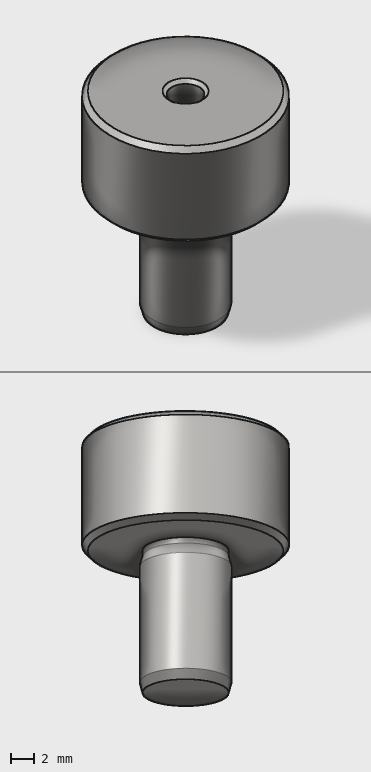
import cadquery as cq
import math

total_height = 23.0
head_diameter = 18.0
head_height = 10.0
head_chamfer = 0.5
shank_diameter = 8.0
neck_diameter = 7.5
neck_height = 0.5
taper_angle = 15.0
hole_diameter = 3.3
hole_mouth_diameter = 4.0
hole_depth = 7.0
drill_point_angle = 118.0

head_radius = head_diameter / 2
shank_radius = shank_diameter / 2
neck_radius = neck_diameter / 2
hole_radius = hole_diameter / 2
hole_mouth_radius = hole_mouth_diameter / 2
head_bottom = total_height - head_height
taper_length = (shank_radius - neck_radius) / math.tan(math.radians(taper_angle))
neck_bottom = head_bottom - neck_height


def turned_body():
    """Chamfered head on a shank with a relief neck and a tapered lead-in tip."""
    profile = [
        (0, 0),
        (neck_radius, 0),
        (shank_radius, taper_length),
        (shank_radius, neck_bottom - taper_length),
        (neck_radius, neck_bottom),
        (neck_radius, head_bottom),
        (head_radius - head_chamfer, head_bottom),
        (head_radius, head_bottom + head_chamfer),
        (head_radius, total_height - head_chamfer),
        (head_radius - head_chamfer, total_height),
        (0, total_height),
    ]
    return cq.Workplane("XZ").polyline(profile).close().revolve(360, (0, 0), (0, 1))


def drilled_hole():
    """Blind hole with a 45 degree countersunk mouth and a conical drill point."""
    countersink_depth = hole_mouth_radius - hole_radius
    point_depth = hole_radius / math.tan(math.radians(drill_point_angle / 2))
    bore_bottom = total_height - hole_depth
    profile = [
        (0, total_height),
        (hole_mouth_radius, total_height),
        (hole_radius, total_height - countersink_depth),
        (hole_radius, bore_bottom),
        (0, bore_bottom - point_depth),
    ]
    return cq.Workplane("XZ").polyline(profile).close().revolve(360, (0, 0), (0, 1))


result = turned_body().cut(drilled_hole())